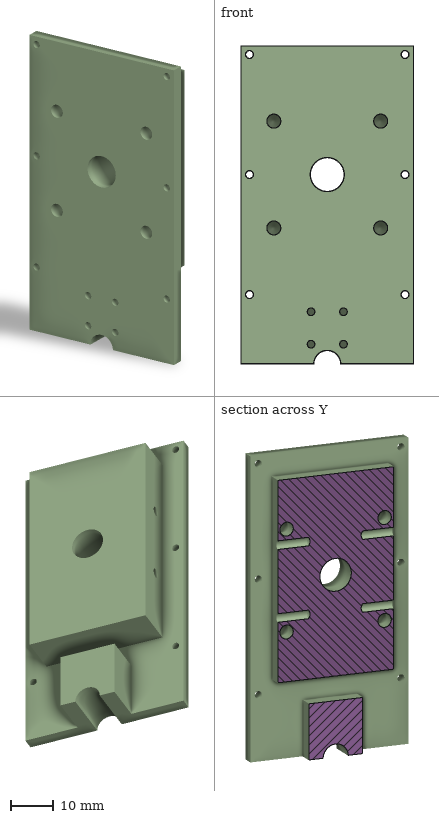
import cadquery as cq
import math


plate_width = 41.0
plate_height = 75.5
plate_thickness = 3.0

block_depth = 10.0
block_back = plate_thickness + block_depth

block_width = 30.05
block_height = 50.05
block_top_gap = 5.5
block_center_z = plate_height - block_top_gap - block_height / 2

foot_height = 14.0
foot_width = foot_height
notch_radius = 3.2

bore_diameter = 8.0

mount_hole_diameter = 3.3
mount_hole_spacing = 25.4
mount_hole_depth = 9.05

edge_hole_diameter = 1.8
edge_hole_inset = 2.05
edge_hole_pitch = plate_height - edge_hole_inset - block_center_z

foot_hole_diameter = 1.8
foot_hole_spacing = 7.7
foot_hole_center_z = 8.5
foot_hole_depth = plate_thickness

side_hole_diameter = 2.3
side_hole_spacing = 18.0
side_hole_y = plate_thickness + 4.0
side_hole_depth = 8.0

drill_point_angle = 118.0


def box_behind(front_y, width, depth, bottom_z, height):
    """Box centred on X = 0 that reaches back from front_y and up from bottom_z."""
    corner = (-width / 2, front_y, bottom_z)
    return cq.Workplane("XY").box(width, depth, height, centered=False).translate(corner)


def square_corners(spacing, center_z):
    """(x, z) of the four corners of a square centred on X = 0."""
    half = spacing / 2
    return [(x, center_z + z) for x in (-half, half) for z in (-half, half)]


def holes_from_front(points, diameter, depth):
    """Straight cylinders going back from the front face at the given (x, z) points."""
    return cq.Workplane("XZ").pushPoints(points).circle(diameter / 2).extrude(-depth)


def drill(start, direction, diameter, depth):
    """Cylinder of the given depth that ends in a conical drill point."""
    radius = diameter / 2
    tip_length = radius / math.tan(math.radians(drill_point_angle / 2))
    start = cq.Vector(*start)
    direction = cq.Vector(*direction)
    shank = cq.Solid.makeCylinder(radius, depth, start, direction)
    tip = cq.Solid.makeCone(radius, 0, tip_length, start + direction * depth, direction)
    return shank.fuse(tip)


def cut_bore_and_mount_holes(body):
    """Cut the holes that the plate and the main block share."""
    body = body.cut(holes_from_front([(0, block_center_z)], bore_diameter, block_back))
    for x, z in square_corners(mount_hole_spacing, block_center_z):
        body = body.cut(drill((x, 0, z), (0, 1, 0), mount_hole_diameter, mount_hole_depth))
    return body


def make_plate():
    """Plate with its foot, bottom notch and all its holes."""
    plate = box_behind(0, plate_width, plate_thickness, 0, plate_height)
    plate = plate.union(box_behind(plate_thickness, foot_width, block_depth, 0, foot_height))

    plate = plate.cut(holes_from_front([(0, 0)], 2 * notch_radius, block_back))

    edge_x = plate_width / 2 - edge_hole_inset
    edge_points = [
        (x, block_center_z + row * edge_hole_pitch) for x in (-edge_x, edge_x) for row in (-1, 0, 1)
    ]
    plate = plate.cut(holes_from_front(edge_points, edge_hole_diameter, plate_thickness))

    foot_points = square_corners(foot_hole_spacing, foot_hole_center_z)
    plate = plate.cut(holes_from_front(foot_points, foot_hole_diameter, foot_hole_depth))
    return cut_bore_and_mount_holes(plate)


def make_main_block():
    """Block on the back of the plate, with the bore, mount holes and side holes."""
    bottom_z = block_center_z - block_height / 2
    block = box_behind(plate_thickness, block_width, block_depth, bottom_z, block_height)
    block = cut_bore_and_mount_holes(block)
    for side in (-1, 1):
        for row in (-1, 1):
            start = (side * block_width / 2, side_hole_y, block_center_z + row * side_hole_spacing / 2)
            block = block.cut(drill(start, (-side, 0, 0), side_hole_diameter, side_hole_depth))
    return block


plate = make_plate()
main_block = make_main_block()

result = cq.Compound.makeCompound([plate.solids().val(), main_block.solids().val()])